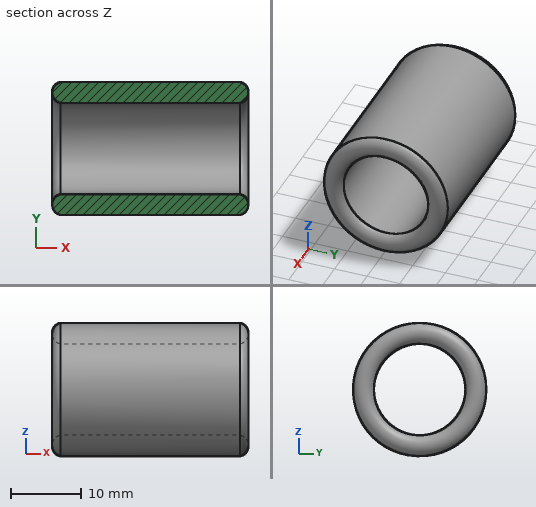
import cadquery as cq

length = 28.0
outer_diameter = 19.0
bore_diameter = 13.0
rim_height = 1.12
bevel_length = 0.08
bevel_depth = 0.03

outer_radius = outer_diameter / 2
bore_radius = bore_diameter / 2
middle_radius = (outer_radius + bore_radius) / 2
rim_outer = outer_radius - bevel_depth
rim_inner = bore_radius + bevel_depth

end_x = length / 2
rim_x = end_x - rim_height
shoulder_x = rim_x - bevel_length

result = (
    cq.Workplane("XY")
    .moveTo(-shoulder_x, bore_radius)
    .lineTo(shoulder_x, bore_radius)
    .lineTo(rim_x, rim_inner)
    .threePointArc((end_x, middle_radius), (rim_x, rim_outer))
    .lineTo(shoulder_x, outer_radius)
    .lineTo(-shoulder_x, outer_radius)
    .lineTo(-rim_x, rim_outer)
    .threePointArc((-end_x, middle_radius), (-rim_x, rim_inner))
    .close()
    .revolve(360, (0, 0, 0), (1, 0, 0))
)